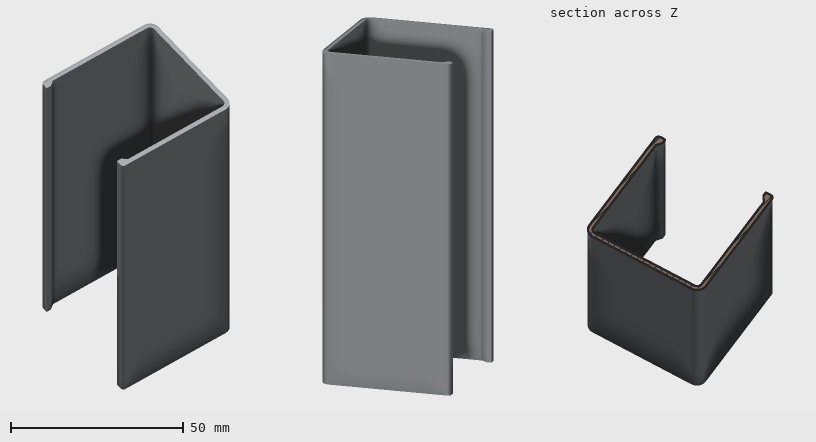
import cadquery as cq

width = 40.0
depth = 40.0
length = 100.0

wall = 1.5
back_outer_radius = 3.0
back_inner_radius = back_outer_radius - wall

lip_width = 2.8
lip_face_height = 1.5
lip_slope_height = 1.7
lip_outer_radius = 1.0

half_width = width / 2
inner_half_width = half_width - wall
lip_half_gap = half_width - lip_width
open_y = -depth / 2
back_y = depth / 2
inner_back_y = back_y - wall
lip_face_top_y = open_y + lip_face_height
lip_top_y = lip_face_top_y + lip_slope_height


def channel():
    """Sharp-cornered C-section with sloped lips, extruded along Z."""
    return (
        cq.Workplane("XY")
        .moveTo(-half_width, open_y)
        .lineTo(-half_width, back_y)
        .lineTo(half_width, back_y)
        .lineTo(half_width, open_y)
        .lineTo(lip_half_gap, open_y)
        .lineTo(lip_half_gap, lip_face_top_y)
        .lineTo(inner_half_width, lip_top_y)
        .lineTo(inner_half_width, inner_back_y)
        .lineTo(-inner_half_width, inner_back_y)
        .lineTo(-inner_half_width, lip_top_y)
        .lineTo(-lip_half_gap, lip_face_top_y)
        .lineTo(-lip_half_gap, open_y)
        .close()
        .extrude(length)
    )


def round_edge_pair(body, x, y, radius):
    """Round the two lengthwise edges at (-x, y) and (x, y)."""
    for edge_x in (-x, x):
        nearest = cq.selectors.NearestToPointSelector((edge_x, y, length / 2))
        body = body.edges("|Z").edges(nearest).fillet(radius)
    return body


result = channel()
result = round_edge_pair(result, half_width, back_y, back_outer_radius)
result = round_edge_pair(result, inner_half_width, inner_back_y, back_inner_radius)
result = round_edge_pair(result, half_width, open_y, lip_outer_radius)